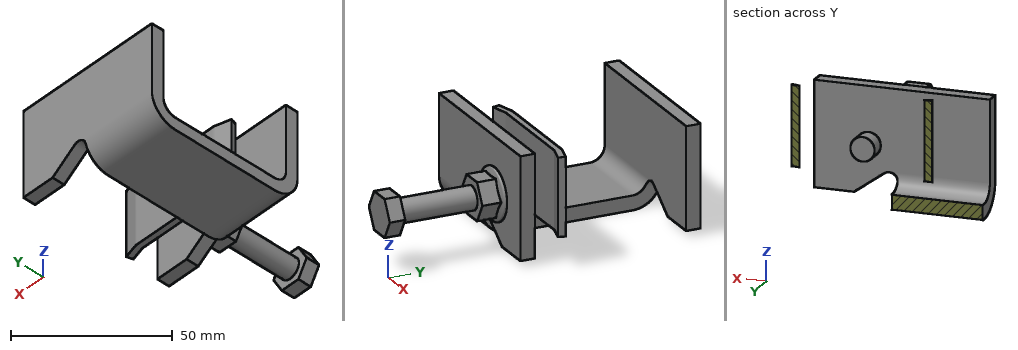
import cadquery as cq
import math


bracket_length = 58.0
bracket_width = 62.0
bracket_height = 37.37
plate_thickness = 5.0
bend_inner_radius = 5.0
bend_outer_radius = bend_inner_radius + plate_thickness

notch_start_x = 30.2
notch_top_z = bend_outer_radius
notch_corner_radius = 3.0
notch_arc_x = notch_start_x + notch_corner_radius
notch_arc_z = notch_top_z - notch_corner_radius
arm_tip_x = 44.8
arm_bottom_z = 2.37

axis_x = 40.0
axis_z = 18.4
thread_diameter = 8.0
hex_across_flats = 13.0
hex_across_corners = hex_across_flats / math.cos(math.pi / 6)

bolt_length = 45.0
bolt_head_height = 5.3
bolt_end_y = 10.49

nut_height = 8.0
flange_diameter = 18.0
flange_rim_radius = 0.6
flange_cone_angle = math.radians(17)

pressure_plate_thickness = 2.5
pressure_plate_height = 26.6
pressure_plate_bottom_z = 10.4
pressure_plate_back_y = 14.5
pressure_plate_end_x = 63.73
pressure_plate_half_span = pressure_plate_end_x - axis_x
flat_half_length = 17.1
end_bend_angle = math.radians(15)
end_bend_inner_radius = 1.0


def along_screw(start_y):
    """Sketch plane across the screw axis whose normal points to -Y."""
    return cq.Workplane("XZ", origin=(axis_x, start_y, axis_z))


def cylinder_on_axis(start_y, diameter, length):
    return along_screw(start_y).circle(diameter / 2).extrude(length)


def hexagon_on_axis(start_y, length):
    return along_screw(start_y).polygon(6, hex_across_corners).extrude(length)


def make_channel():
    """Rounded U section of the closed end, up to the top of the notch."""
    outer = (
        cq.Workplane("XY")
        .box(notch_arc_x, bracket_width, bracket_height, centered=False)
        .edges("|X and <Z")
        .fillet(bend_outer_radius)
    )
    inner = (
        cq.Workplane("XY", origin=(0, plate_thickness, plate_thickness))
        .box(notch_arc_x, bracket_width - 2 * plate_thickness, bracket_height, centered=False)
        .edges("|X and <Z")
        .fillet(bend_inner_radius)
    )
    return outer.cut(inner)


def make_notch():
    """Cutter for the open side: rounded inner corner, then a ramp down to the arm tips."""
    to_tip_x = arm_tip_x - notch_arc_x
    to_tip_z = arm_bottom_z - notch_arc_z
    tip_direction = math.atan2(to_tip_z, to_tip_x)
    tangent_direction = tip_direction + math.acos(notch_corner_radius / math.hypot(to_tip_x, to_tip_z))
    ramp_x = notch_arc_x + notch_corner_radius * math.cos(tangent_direction)
    ramp_z = notch_arc_z + notch_corner_radius * math.sin(tangent_direction)
    diagonal = notch_corner_radius / math.sqrt(2)
    return (
        cq.Workplane("XZ")
        .moveTo(notch_start_x, 0)
        .lineTo(notch_start_x, notch_arc_z)
        .threePointArc((notch_arc_x - diagonal, notch_arc_z + diagonal), (ramp_x, ramp_z))
        .lineTo(arm_tip_x, arm_bottom_z)
        .lineTo(bracket_length, arm_bottom_z)
        .lineTo(bracket_length, 0)
        .close()
        .extrude(-bracket_width)
    )


def make_arm(front_y):
    """Flat arm plate beyond the top of the notch, square at its lower edge."""
    return cq.Workplane("XY", origin=(notch_arc_x, front_y, 0)).box(
        bracket_length - notch_arc_x, plate_thickness, bracket_height, centered=False
    )


def make_bracket():
    screw_hole = cylinder_on_axis(plate_thickness, thread_diameter, plate_thickness)
    body = make_channel()
    for front_y in (0, bracket_width - plate_thickness):
        body = body.union(make_arm(front_y))
    return body.cut(make_notch()).cut(screw_hole)


def make_bolt():
    """Shank through the nut and bracket, with a hex head at the front; the length excludes the head."""
    head_y = bolt_end_y - bolt_length
    shank = cylinder_on_axis(bolt_end_y, thread_diameter, bolt_length)
    return shank.union(hexagon_on_axis(head_y, bolt_head_height))


def make_nut():
    """Hex nut with a round-rimmed, conical flange."""
    rim_centre = flange_diameter / 2 - flange_rim_radius
    cone_start_radius = rim_centre + flange_rim_radius * math.sin(flange_cone_angle)
    cone_start_height = flange_rim_radius * (1 + math.cos(flange_cone_angle))
    cone_tip_height = cone_start_height + cone_start_radius * math.tan(flange_cone_angle)
    flange = (
        cq.Workplane("XY", origin=(axis_x, 0, axis_z))
        .lineTo(rim_centre, 0)
        .threePointArc((flange_diameter / 2, -flange_rim_radius), (cone_start_radius, -cone_start_height))
        .lineTo(0, -cone_tip_height)
        .close()
        .revolve(360, (0, 0, 0), (0, 1, 0))
    )
    bore = cylinder_on_axis(0, thread_diameter, nut_height)
    return flange.union(hexagon_on_axis(0, nut_height)).cut(bore)


def make_pressure_plate():
    """Flat strip with both ends bent by the same angle toward the screw."""
    outer_radius = end_bend_inner_radius + pressure_plate_thickness
    bend_sin = math.sin(end_bend_angle)
    bend_cos = math.cos(end_bend_angle)
    half_sin = math.sin(end_bend_angle / 2)
    half_cos = math.cos(end_bend_angle / 2)
    leg_length = (pressure_plate_half_span - flat_half_length - outer_radius * bend_sin) / bend_cos
    bend_centre_y = pressure_plate_back_y - outer_radius

    def bend_point(radius, sine, cosine):
        return flat_half_length + radius * sine, bend_centre_y + radius * cosine

    def leg_end(bend_end):
        return bend_end[0] + leg_length * bend_cos, bend_end[1] - leg_length * bend_sin

    outer_bend_end = bend_point(outer_radius, bend_sin, bend_cos)
    inner_bend_end = bend_point(end_bend_inner_radius, bend_sin, bend_cos)
    half = (
        cq.Workplane("XY", origin=(axis_x, 0, pressure_plate_bottom_z))
        .moveTo(0, pressure_plate_back_y)
        .lineTo(flat_half_length, pressure_plate_back_y)
        .threePointArc(bend_point(outer_radius, half_sin, half_cos), outer_bend_end)
        .lineTo(*leg_end(outer_bend_end))
        .lineTo(*leg_end(inner_bend_end))
        .lineTo(*inner_bend_end)
        .threePointArc(
            bend_point(end_bend_inner_radius, half_sin, half_cos),
            bend_point(end_bend_inner_radius, 0, 1),
        )
        .lineTo(0, pressure_plate_back_y - pressure_plate_thickness)
        .close()
        .extrude(pressure_plate_height)
    )
    return half.union(half.mirror("YZ", (axis_x, 0, 0)))


bracket = make_bracket()
bolt = make_bolt()
nut = make_nut()
pressure_plate = make_pressure_plate()

result = cq.Compound.makeCompound([bracket.val(), bolt.val(), nut.val(), pressure_plate.val()])